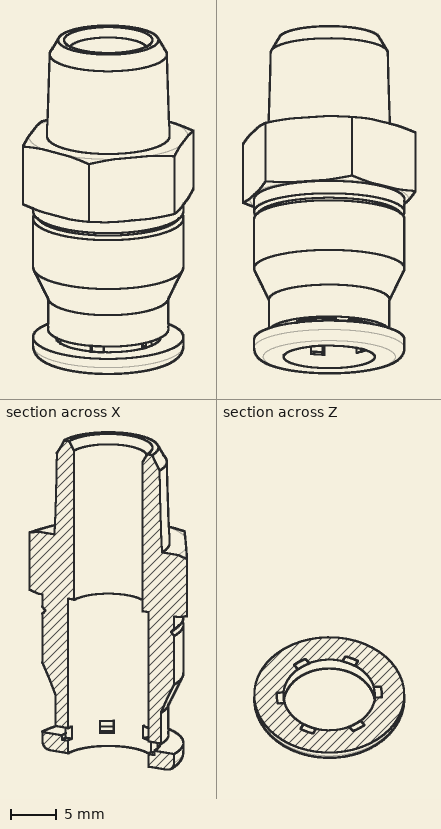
import cadquery as cq
import math


flange_top = 2.0
sleeve_bottom = 2.9
sleeve_top = 6.5
body_bottom = 10.0
groove_height = 16.0
hex_bottom = 17.8
hex_top = 25.0
total_height = 36.0

flange_diameter = 16.5
flange_fillet = 1.0
collet_diameter = 11.5
slot_count = 6
slot_width = 1.5
slot_floor = 1.5

sleeve_diameter = 13.2
body_diameter = 16.5
groove_depth = 0.4
groove_half_width = 0.4

across_flats = 17.0
hex_chamfer_diameter = 17.45
hex_chamfer_angle = math.radians(15)

thread_tip_diameter = 11.0
thread_crest_diameter = 12.87
thread_tip_angle = math.radians(30)
pipe_taper = 1 / 16

tube_bore_diameter = 10.0
tube_stop_height = hex_bottom
through_bore_diameter = 8.5
mouth_diameter = 9.7
mouth_depth = 1.0


def disc(diameter, bottom, top):
    """Cylinder on the Z axis between two heights."""
    return cq.Workplane("XY").workplane(offset=bottom).circle(diameter / 2).extrude(top - bottom)


def revolved(profile):
    """Solid of revolution about Z from a closed list of (radius, height) points."""
    return cq.Workplane("XZ").polyline(profile).close().revolve(360, (0, 0), (0, 1))


def make_collet():
    """Flange with a rounded lower rim, and a neck split into fingers by slots sunk into the flange."""
    flange = disc(flange_diameter, 0, flange_top).faces("<Z").edges().fillet(flange_fillet)
    neck = disc(collet_diameter, flange_top, sleeve_bottom)
    collet = flange.union(neck)
    slot_zone = disc(collet_diameter, slot_floor, sleeve_bottom)
    for i in range(slot_count // 2):
        slot_pair = (
            cq.Workplane("XY")
            .box(slot_width, flange_diameter, sleeve_bottom - slot_floor, centered=(True, True, False))
            .translate((0, 0, slot_floor))
            .rotate((0, 0, 0), (0, 0, 1), i * 360 / slot_count)
        )
        collet = collet.cut(slot_pair.intersect(slot_zone))
    return collet


def make_body():
    """Sleeve, cone and cylindrical body with a V-groove just below the hexagon."""
    sleeve_radius = sleeve_diameter / 2
    body_radius = body_diameter / 2
    return revolved([
        (0, sleeve_bottom),
        (sleeve_radius, sleeve_bottom),
        (sleeve_radius, sleeve_top),
        (body_radius, body_bottom),
        (body_radius, groove_height - groove_half_width),
        (body_radius - groove_depth, groove_height),
        (body_radius, groove_height + groove_half_width),
        (body_radius, hex_bottom),
        (0, hex_bottom),
    ])


def make_hexagon():
    """Hexagon whose corners are chamfered by a shallow cone at both ends."""
    corner_radius = across_flats / math.sqrt(3)
    chamfer_radius = hex_chamfer_diameter / 2
    corner_drop = (corner_radius - chamfer_radius) * math.tan(hex_chamfer_angle)
    prism = (
        cq.Workplane("XY")
        .workplane(offset=hex_bottom)
        .polygon(6, 2 * corner_radius)
        .extrude(hex_top - hex_bottom)
        .rotate((0, 0, 0), (0, 0, 1), 90)
    )
    envelope = revolved([
        (0, hex_bottom),
        (chamfer_radius, hex_bottom),
        (corner_radius, hex_bottom + corner_drop),
        (corner_radius, hex_top - corner_drop),
        (chamfer_radius, hex_top),
        (0, hex_top),
    ])
    return prism.intersect(envelope)


def make_thread():
    """Tapered thread blank with a steep chamfer at the tip."""
    tip_radius = thread_tip_diameter / 2
    crest_radius = thread_crest_diameter / 2
    crest_height = total_height - (crest_radius - tip_radius) / math.tan(thread_tip_angle)
    root_radius = crest_radius + (crest_height - hex_top) * pipe_taper / 2
    return revolved([
        (0, hex_top),
        (root_radius, hex_top),
        (crest_radius, crest_height),
        (tip_radius, total_height),
        (0, total_height),
    ])


def make_bore():
    """Tube socket from below, narrower bore above it and a conical mouth at the top."""
    tube_radius = tube_bore_diameter / 2
    through_radius = through_bore_diameter / 2
    return revolved([
        (0, 0),
        (tube_radius, 0),
        (tube_radius, tube_stop_height),
        (through_radius, tube_stop_height),
        (through_radius, total_height - mouth_depth),
        (mouth_diameter / 2, total_height),
        (0, total_height),
    ])


result = (
    make_collet()
    .union(make_body())
    .union(make_hexagon())
    .union(make_thread())
    .cut(make_bore())
)